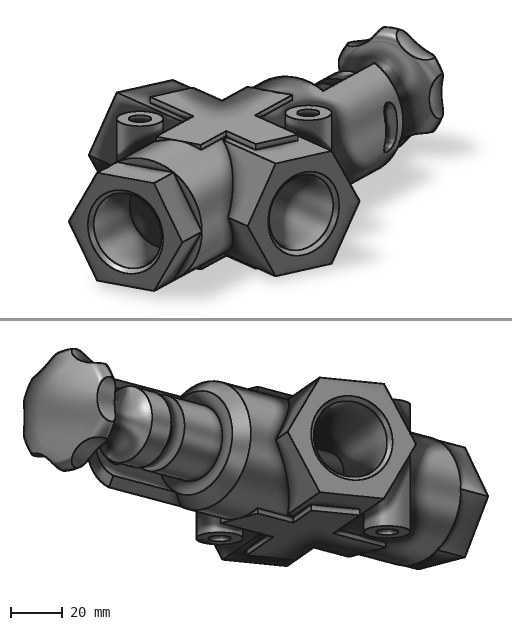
import cadquery as cq
import math

RUN_LENGTH = 106.2
RUN_ACROSS_CORNERS = 53.0
BORE_DIAMETER = 30.3
BORE_CHAMFER = 1.7

HEXAGON_SIDES = 6
CUT_CLEARANCE = 2.0

TILT = 24.5
BARREL_RADIUS = 50.8 / 2
BARREL_BOTTOM = -60.8
BARREL_TOP = 54.3
INLET_END = -75.9
INLET_BORE_DEPTH = 29.3
SPINDLE_DIAMETER = 20.0

GUARD_INNER_RADIUS = 20.5
GUARD_END = 93.8
GUARD_SWEEP = 120
SHOULDER = 59.5
SLOT_LENGTH = 20.0
SLOT_WIDTH = 8.5
SLOT_POSITION = 85.0

SLEEVE_RADIUS = 30.0 / 2
SLEEVE_END = 80.3
NECK_RADIUS = 16.0 / 2
COLLAR_START = 87.5
COLLAR_END = 98.0
WAIST_RADIUS = 7.3
WAIST_POSITION = 109.7
RIM_RADIUS = 24.0
RIM_LOWER_RADIUS = 19.5
RIM_UPPER_RADIUS = 20.7
RIM_START = 123.5
RIM_MIDDLE = 128.0
RIM_END = 132.7
WHEEL_TOP = 137.0
SCALLOP_COUNT = 6
SCALLOP_WIDTH = 17.8
SCALLOP_FLOOR_RADIUS = 19.9

PART_HEIGHT = 2 * BARREL_RADIUS
CROSS_SPAN = 70.2
CROSS_WIDTH = 20.0

BOSS_DIAMETER = 18.0
BOSS_HOLE_DIAMETER = 8.5
BOSS_SIDE_OFFSET = 26.3
BOSS_ALONG_OFFSET = 19.5


def tilt(body):
    """Turn a body built along Y onto the valve line."""
    return body.rotate((0, 0, 0), (0, 0, 1), TILT)


def rod_along_y(radius, start, end):
    return cq.Workplane("XZ", origin=(0, start, 0)).circle(radius).extrude(start - end)


def chamfered_bore(mouth, depth):
    """Cutter for a bore going inward from its mouth, with a chamfered mouth."""
    radius = BORE_DIAMETER / 2
    profile = [
        (0, 0),
        (radius + BORE_CHAMFER, 0),
        (radius, -BORE_CHAMFER),
        (radius, -depth),
        (0, -depth),
    ]
    section = cq.Workplane(mouth)
    return section.polyline(profile).close().revolve(360, (0, 0), (0, 1))


def straight_run():
    return (
        cq.Workplane("YZ", origin=(-RUN_LENGTH / 2, 0, 0))
        .polygon(HEXAGON_SIDES, RUN_ACROSS_CORNERS)
        .extrude(RUN_LENGTH)
    )


def run_bore():
    """Through bore along X with a chamfer at both mouths."""
    right_mouth = cq.Plane(origin=(RUN_LENGTH / 2, 0, 0), xDir=(0, 1, 0), normal=(0, 0, -1))
    right_half = chamfered_bore(right_mouth, RUN_LENGTH / 2)
    return right_half.union(right_half.mirror("YZ"))


def barrel():
    body = rod_along_y(BARREL_RADIUS, BARREL_BOTTOM, GUARD_END)
    inlet_hexagon = (
        cq.Workplane("XZ", origin=(0, BARREL_BOTTOM, 0))
        .polygon(HEXAGON_SIDES, 2 * BARREL_RADIUS)
        .extrude(BARREL_BOTTOM - INLET_END)
    )
    return body.cut(guard_opening()).cut(guard_slot()).union(inlet_hexagon)


def guard_opening():
    """Space inside the guard, plus the open side down to the bevelled shoulder."""
    inside = rod_along_y(GUARD_INNER_RADIUS, SHOULDER, GUARD_END)
    clear_radius = BARREL_RADIUS + CUT_CLEARANCE
    bevel_slope = (SHOULDER - BARREL_TOP) / (BARREL_RADIUS - GUARD_INNER_RADIUS)
    bevel_foot = BARREL_TOP - bevel_slope * CUT_CLEARANCE
    open_side = (
        cq.Workplane("XY")
        .polyline([
            (0, SHOULDER),
            (GUARD_INNER_RADIUS, SHOULDER),
            (clear_radius, bevel_foot),
            (clear_radius, GUARD_END),
            (0, GUARD_END),
        ])
        .close()
        .revolve(360 - GUARD_SWEEP, (0, 0), (0, 1))
        .rotate((0, 0, 0), (0, 1, 0), GUARD_SWEEP / 2)
    )
    return inside.union(open_side)


def guard_slot():
    return (
        cq.Workplane("YZ", origin=(0, SLOT_POSITION, 0))
        .slot2D(SLOT_LENGTH, SLOT_WIDTH, 90)
        .extrude(BARREL_RADIUS + CUT_CLEARANCE)
    )


def stem_and_handwheel():
    profile = (
        cq.Workplane("XY")
        .moveTo(0, BARREL_TOP)
        .lineTo(SLEEVE_RADIUS, BARREL_TOP)
        .lineTo(SLEEVE_RADIUS, SLEEVE_END)
        .lineTo(NECK_RADIUS, SLEEVE_END)
        .lineTo(NECK_RADIUS, COLLAR_START)
        .lineTo(SLEEVE_RADIUS, COLLAR_START)
        .lineTo(SLEEVE_RADIUS, COLLAR_END)
        .threePointArc((WAIST_RADIUS, WAIST_POSITION), (RIM_LOWER_RADIUS, RIM_START))
        .threePointArc((RIM_RADIUS, RIM_MIDDLE), (RIM_UPPER_RADIUS, RIM_END))
        .threePointArc(dome_midpoint(), (0, WHEEL_TOP))
        .close()
    )
    wheel = profile.revolve(360, (0, 0), (0, 1))
    for index in range(SCALLOP_COUNT):
        wheel = wheel.cut(scallop().rotate((0, 0, 0), (0, 1, 0), index * 360 / SCALLOP_COUNT))
    return wheel


def dome_midpoint():
    """Point halfway along the dome arc, which is level at the wheel axis."""
    rise = WHEEL_TOP - RIM_END
    dome_radius = (RIM_UPPER_RADIUS ** 2 + rise ** 2) / (2 * rise)
    half_angle = math.asin(RIM_UPPER_RADIUS / dome_radius) / 2
    return (
        dome_radius * math.sin(half_angle),
        WHEEL_TOP - dome_radius * (1 - math.cos(half_angle)),
    )


def scallop():
    """Cutter that bottoms out at the floor radius and opens to the scallop width."""
    half_width = SCALLOP_WIDTH / 2
    depth = math.sqrt(RIM_RADIUS ** 2 - half_width ** 2) - SCALLOP_FLOOR_RADIUS
    radius = (half_width ** 2 + depth ** 2) / (2 * depth)
    return rod_along_y(radius, COLLAR_END, WHEEL_TOP).translate((SCALLOP_FLOOR_RADIUS + radius, 0, 0))


def raised_cross():
    run_arm = cq.Workplane("XY").box(CROSS_SPAN, CROSS_WIDTH, PART_HEIGHT)
    valve_arm = cq.Workplane("XY").box(CROSS_WIDTH, CROSS_SPAN, PART_HEIGHT)
    return run_arm.union(tilt(valve_arm))


def boss_cylinders(diameter):
    centres = [
        (BOSS_SIDE_OFFSET, BOSS_ALONG_OFFSET),
        (-BOSS_SIDE_OFFSET, -BOSS_ALONG_OFFSET),
    ]
    cylinders = (
        cq.Workplane("XY", origin=(0, 0, -PART_HEIGHT / 2))
        .pushPoints(centres)
        .circle(diameter / 2)
        .extrude(PART_HEIGHT)
    )
    return tilt(cylinders)


inlet_mouth = cq.Plane(origin=(0, INLET_END, 0), xDir=(1, 0, 0), normal=(0, 0, -1))
inlet_bore = chamfered_bore(inlet_mouth, INLET_BORE_DEPTH)
spindle = rod_along_y(SPINDLE_DIAMETER / 2, -BORE_DIAMETER, BORE_DIAMETER)

result = (
    straight_run()
    .union(tilt(barrel()))
    .union(raised_cross())
    .union(boss_cylinders(BOSS_DIAMETER))
    .cut(boss_cylinders(BOSS_HOLE_DIAMETER))
    .cut(run_bore())
    .cut(tilt(inlet_bore))
    .union(tilt(spindle))
    .union(tilt(stem_and_handwheel()))
)